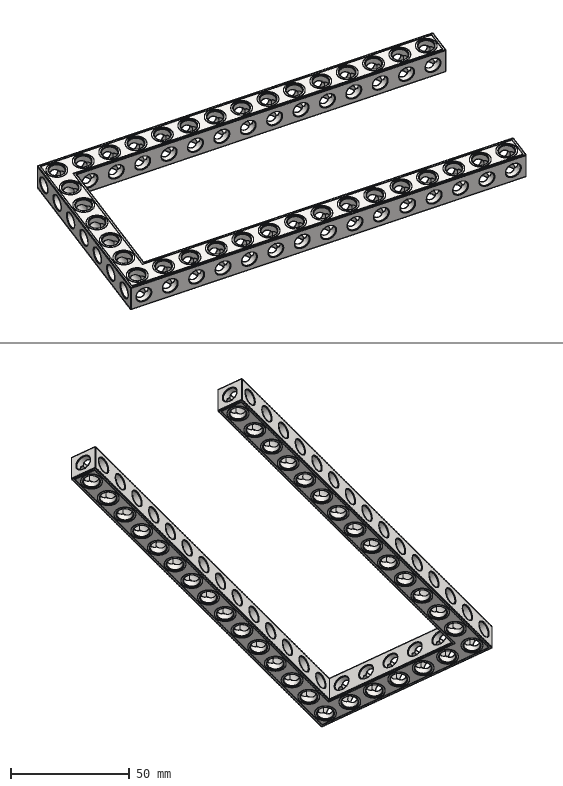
import cadquery as cq


LENGTH = 187.5
HOLES_LONG = 15
HOLES_WIDE = 7
HOLE_DIAMETER = 7.0
RIM_DIAMETER = 9.2
CHAMFER = 0.3
RECESS_DEPTH = 0.2

PITCH = LENGTH / HOLES_LONG
BEAM = PITCH
WIDTH = HOLES_WIDE * PITCH
HOLE_RADIUS = HOLE_DIAMETER / 2
RIM_WIDTH = (RIM_DIAMETER - HOLE_DIAMETER) / 2
MID_HEIGHT = BEAM / 2

COLUMNS = [(i + 0.5) * PITCH for i in range(HOLES_WIDE)]
ROWS = [(i + 0.5) * PITCH for i in range(HOLES_LONG)]
ARM_CELLS = [(x, y) for x in (COLUMNS[0], COLUMNS[-1]) for y in ROWS]
CROSSBAR_CELLS = [(x, ROWS[0]) for x in COLUMNS[1:-1]]
CELLS = ARM_CELLS + CROSSBAR_CELLS


def u_prism(inset, bottom, height):
    """Upright prism over the U outline, moved inward by `inset` on every side."""
    left, right = inset, WIDTH - inset
    front, back = inset, LENGTH - inset
    wall = BEAM - inset
    outline = [
        (left, front),
        (right, front),
        (right, back),
        (WIDTH - wall, back),
        (WIDTH - wall, wall),
        (wall, wall),
        (wall, back),
        (left, back),
    ]
    return cq.Workplane("XY", origin=(0, 0, bottom)).polyline(outline).close().extrude(height)


def face_recess(bottom):
    """Shallow recess inside the edge rims that leaves a round rim at every hole."""
    rims = (
        cq.Workplane("XY", origin=(0, 0, bottom))
        .pushPoints(CELLS)
        .circle(RIM_DIAMETER / 2)
        .extrude(RECESS_DEPTH)
    )
    return u_prism(RIM_WIDTH, bottom, RECESS_DEPTH).cut(rims)


def bore(start, direction, length):
    return cq.Solid.makeCylinder(HOLE_RADIUS, length, cq.Vector(*start), cq.Vector(*direction))


def mouth(centre, inward):
    """Countersink that chamfers a hole where it enters a face."""
    return cq.Solid.makeCone(
        HOLE_RADIUS + CHAMFER, HOLE_RADIUS, CHAMFER, cq.Vector(*centre), cq.Vector(*inward)
    )


def vertical_holes():
    tools = []
    for x, y in CELLS:
        tools.append(bore((x, y, 0), (0, 0, 1), BEAM))
        tools.append(mouth((x, y, 0), (0, 0, 1)))
        tools.append(mouth((x, y, BEAM), (0, 0, -1)))
    return tools


def holes_along_x():
    """Holes across both arms; the first row runs the whole length of the crossbar."""
    tools = []
    for y in ROWS:
        tools.append(bore((0, y, MID_HEIGHT), (1, 0, 0), WIDTH))
        tools.append(mouth((0, y, MID_HEIGHT), (1, 0, 0)))
        tools.append(mouth((WIDTH, y, MID_HEIGHT), (-1, 0, 0)))
    for y in ROWS[1:]:
        tools.append(mouth((BEAM, y, MID_HEIGHT), (-1, 0, 0)))
        tools.append(mouth((WIDTH - BEAM, y, MID_HEIGHT), (1, 0, 0)))
    return tools


def holes_along_y():
    """Holes across the crossbar; the outer two run the whole length of the arms."""
    tools = []
    for x in COLUMNS:
        is_arm = x in (COLUMNS[0], COLUMNS[-1])
        far_face = LENGTH if is_arm else BEAM
        tools.append(bore((x, 0, MID_HEIGHT), (0, 1, 0), far_face))
        tools.append(mouth((x, 0, MID_HEIGHT), (0, 1, 0)))
        tools.append(mouth((x, far_face, MID_HEIGHT), (0, -1, 0)))
    return tools


def chamfered_frame():
    """Solid U with every edge chamfered except the two sharp upright inner corners."""
    inner_corners = cq.selectors.BoxSelector(
        (BEAM / 2, BEAM / 2, BEAM / 4),
        (WIDTH - BEAM / 2, 3 * BEAM / 2, 3 * BEAM / 4),
    )
    solid = u_prism(0, 0, BEAM)
    return solid.edges(cq.selectors.InverseSelector(inner_corners)).chamfer(CHAMFER)


frame = chamfered_frame().cut(face_recess(0)).cut(face_recess(BEAM - RECESS_DEPTH))

body = frame.val()
for hole_set in (vertical_holes(), holes_along_x(), holes_along_y()):
    body = body.cut(*hole_set)

result = cq.Workplane(obj=body.Solids()[0])